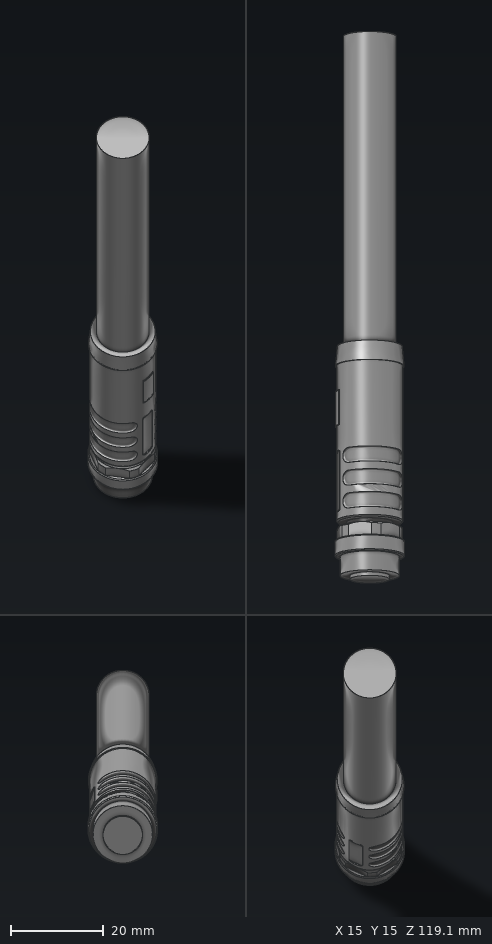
import cadquery as cq
import math

TOTAL_LENGTH = 119.14

INSERT_RADIUS = 4.25
INSERT_TOP = 0.8
SLEEVE_RADIUS = 6.4
SLEEVE_TOP = 4.95
COLLAR_RADIUS = 7.5
COLLAR_TOP = 8.45
COLLAR_CHAMFER = 0.25
HEX_ACROSS_FLATS = 13.3
HEX_CORNER_RADIUS = 7.15
HEX_TOP = 11.4
HEX_CHAMFER_DROP = 0.4
HEX_CHAMFER_INSET = 0.5
NECK_RADIUS = 5.0

GRIP_RADIUS = 7.15
GRIP_BOTTOM = 12.5
GRIP_CHAMFER = 0.3

BAND_BOTTOM = 46.8
BAND_TOP = 51.1
BAND_BOTTOM_RADIUS = 7.4
BAND_TOP_RADIUS = 7.0

SLOT_COUNT = 3
SLOT_PITCH = 5.0
SLOT_HEIGHT = 3.3
SLOT_DEPTH = 0.45
SLOT_END_Y = 2.95
SLOT_FLOOR_FILLET = 0.4
FIRST_SLOT_Z = 16.2

RECESS_WIDTH = 3.3
RECESS_CORNER_RADIUS = 0.8
RECESS_FLOOR_X = 6.85

PAD_BOTTOM = 33.4
PAD_TOP = 41.0
PAD_WIDTH = 3.3
PAD_OUTER_RADIUS = 7.4

CABLE_RADIUS = 5.7

SLOT_ROW_HEIGHT = (SLOT_COUNT - 1) * SLOT_PITCH + SLOT_HEIGHT
SLOT_ROW_CENTER_Z = FIRST_SLOT_Z + (SLOT_COUNT - 1) * SLOT_PITCH / 2
CLEAR = 2 * GRIP_RADIUS


def cylinder(radius, bottom, top):
    return cq.Workplane("XY").workplane(offset=bottom).circle(radius).extrude(top - bottom)


def cone(bottom_radius, top_radius, bottom, top):
    """Frustum between two heights."""
    profile = [(0, bottom), (bottom_radius, bottom), (top_radius, top), (0, top)]
    return cq.Workplane("XZ").polyline(profile).close().revolve(360, (0, 0), (0, 1))


def make_hex():
    """Hexagon with a flat facing -X, its corners turned round and chamfered at the top."""
    across_corners = HEX_ACROSS_FLATS / math.cos(math.pi / 6)
    prism = (
        cq.Workplane("XY").workplane(offset=COLLAR_TOP)
        .transformed(rotate=(0, 0, 30))
        .polygon(6, across_corners).extrude(HEX_TOP - COLLAR_TOP)
    )
    chamfer_start = HEX_TOP - HEX_CHAMFER_DROP
    envelope = cylinder(HEX_CORNER_RADIUS, COLLAR_TOP, chamfer_start).union(
        cone(HEX_CORNER_RADIUS, HEX_CORNER_RADIUS - HEX_CHAMFER_INSET, chamfer_start, HEX_TOP)
    )
    return prism.intersect(envelope)


def make_slot(side, center_z):
    """Cutter for a round-ended slot of even depth; side is -1 for -Y and +1 for +Y."""
    outline = (
        cq.Workplane("YZ").workplane(offset=-CLEAR)
        .center(side * (SLOT_END_Y + CLEAR / 2), center_z)
        .slot2D(CLEAR, SLOT_HEIGHT).extrude(2 * CLEAR)
    )
    floor = cylinder(GRIP_RADIUS - SLOT_DEPTH, center_z - SLOT_HEIGHT, center_z + SLOT_HEIGHT)
    floor_point = (0, side * (GRIP_RADIUS - SLOT_DEPTH), center_z)
    slot = outline.cut(floor)
    return slot.faces(cq.NearestToPointSelector(floor_point)).edges().fillet(SLOT_FLOOR_FILLET)


def make_recess(side):
    """Cutter for the rounded recess; side is -1 for -X and +1 for +X."""
    return (
        cq.Workplane("YZ").workplane(offset=side * RECESS_FLOOR_X)
        .center(0, SLOT_ROW_CENTER_Z)
        .rect(RECESS_WIDTH, SLOT_ROW_HEIGHT).extrude(side * CLEAR)
        .edges("|X").fillet(RECESS_CORNER_RADIUS)
    )


def make_pad():
    """Raised pad on the +X side, following the curve of the grip."""
    block = (
        cq.Workplane("YZ").center(0, (PAD_BOTTOM + PAD_TOP) / 2)
        .rect(PAD_WIDTH, PAD_TOP - PAD_BOTTOM).extrude(CLEAR)
    )
    return block.intersect(cylinder(PAD_OUTER_RADIUS, PAD_BOTTOM, PAD_TOP))


def make_grip():
    grip = cylinder(GRIP_RADIUS, GRIP_BOTTOM, BAND_BOTTOM).faces("<Z").chamfer(GRIP_CHAMFER)
    for side in (-1, 1):
        for index in range(SLOT_COUNT):
            grip = grip.cut(make_slot(side, FIRST_SLOT_Z + index * SLOT_PITCH))
        grip = grip.cut(make_recess(side))
    return grip.union(make_pad())


def make_connector():
    collar = cylinder(COLLAR_RADIUS, SLEEVE_TOP, COLLAR_TOP).edges().chamfer(COLLAR_CHAMFER)
    return (
        cylinder(INSERT_RADIUS, 0, INSERT_TOP)
        .union(cylinder(SLEEVE_RADIUS, INSERT_TOP, SLEEVE_TOP))
        .union(collar)
        .union(make_hex())
        .union(cylinder(NECK_RADIUS, HEX_TOP, GRIP_BOTTOM))
        .union(make_grip())
        .union(cone(BAND_BOTTOM_RADIUS, BAND_TOP_RADIUS, BAND_BOTTOM, BAND_TOP))
    )


def make_cable():
    return cylinder(CABLE_RADIUS, BAND_TOP, TOTAL_LENGTH)


connector = make_connector()
cable = make_cable()

result = cq.Compound.makeCompound([connector.val(), cable.val()])